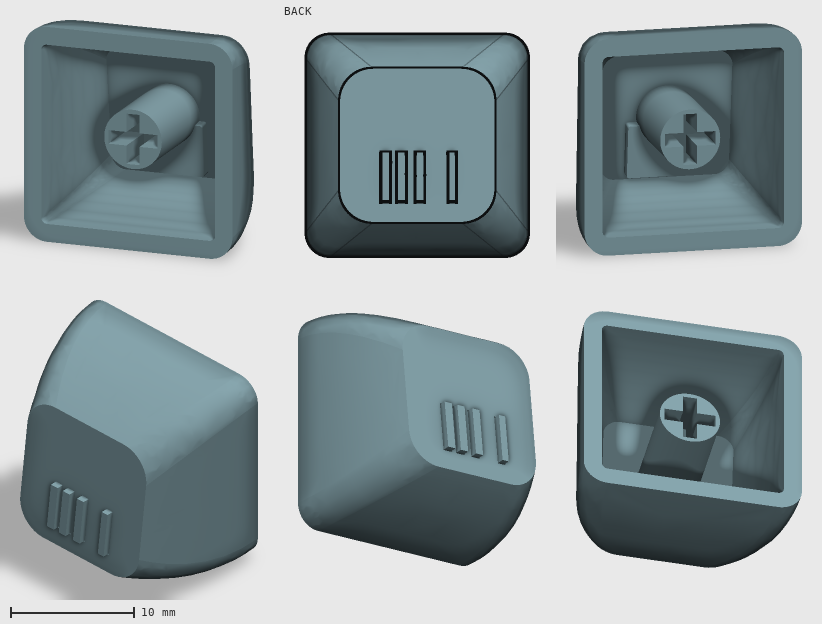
import cadquery as cq
import math

base_width = 18.1
base_corner_radius = 2.0
top_width = 12.67
top_corner_radius = 2.72
cap_depth = 11.19
top_tilt = 7.05
wall = 1.5
loft_steps = 4

stem_diameter = 5.0
stem_recess = 1.09
cross_length = 4.24
cross_width = 1.14
cross_depth = 4.0

plate_thickness = 1.0
plate_width = 6.39
plate_height = 4.49
plate_center_x = -0.16
plate_center_up = -2.55
plate_corner_radius = 0.2
bar_height = 4.05
bar_center_up = -2.59
bar_protrusion = 0.56
bar_clearance = 0.07
bars = [(-2.82, 0.62), (-0.22, 0.7), (1.29, 0.72), (2.55, 0.72)]


def tilted_plane(fraction):
    """Plane across the cap at a fraction of its depth and tilt; it faces the base, local y runs up."""
    tilt = math.radians(top_tilt * fraction)
    return cq.Plane(
        origin=(0, cap_depth * fraction, 0),
        xDir=(1, 0, 0),
        normal=(0, -math.cos(tilt), -math.sin(tilt)),
    )


top_plane = tilted_plane(1)


def cap_section(fraction):
    """Rounded square that shrinks with the square of the depth, so the sides leave the base upright."""
    blend = fraction**2
    width = base_width + (top_width - base_width) * blend
    radius = base_corner_radius + (top_corner_radius - base_corner_radius) * blend
    outline = cq.Sketch().rect(width, width).vertices().fillet(radius)
    return outline.reset().faces().val().outerWire().located(tilted_plane(fraction).location)


def make_outer_body():
    sections = [cap_section(step / loft_steps) for step in range(loft_steps + 1)]
    return cq.Workplane(cq.Solid.makeLoft(sections))


def make_stem(outer_body):
    """Round post that ends at the outer surface of the top wall."""
    post = (
        cq.Workplane("XZ", origin=(0, stem_recess, 0))
        .circle(stem_diameter / 2)
        .extrude(-cap_depth)
    )
    return post.intersect(outer_body)


def make_cross_socket():
    mouth = cq.Workplane("XZ", origin=(0, stem_recess, 0))
    level_slot = mouth.rect(cross_length, cross_width).extrude(-cross_depth)
    upright_slot = mouth.rect(cross_width, cross_length).extrude(-cross_depth)
    return level_slot.union(upright_slot)


def make_bars(clearance):
    """Bars from the cavity floor through the top wall, widened on each side by the clearance."""
    floor = cq.Workplane(top_plane).workplane(offset=wall)
    solids = []
    for center_x, width in bars:
        bar = (
            floor.center(center_x, bar_center_up)
            .rect(width + 2 * clearance, bar_height + 2 * clearance)
            .extrude(-wall - bar_protrusion)
        )
        solids.append(bar.val())
    return cq.Workplane().newObject(solids).combine()


def make_plate():
    return (
        cq.Workplane(top_plane)
        .workplane(offset=wall)
        .center(plate_center_x, plate_center_up)
        .sketch()
        .rect(plate_width, plate_height)
        .vertices()
        .fillet(plate_corner_radius)
        .finalize()
        .extrude(plate_thickness)
    )


def make_cap(outer_body, stem):
    """Hollow cap, open at the base, with the stem, its socket and the openings for the bars."""
    shell = outer_body.faces("<Y").shell(-wall)
    return shell.union(stem).cut(make_cross_socket()).cut(make_bars(bar_clearance))


def make_legend(stem):
    """Plate notched around the stem, in one piece with its bars."""
    return make_plate().cut(stem).union(make_bars(0))


outer_body = make_outer_body()
stem = make_stem(outer_body)
cap = make_cap(outer_body, stem)
legend = make_legend(stem)

result = cq.Compound.makeCompound([cap.solids().val(), legend.solids().val()])